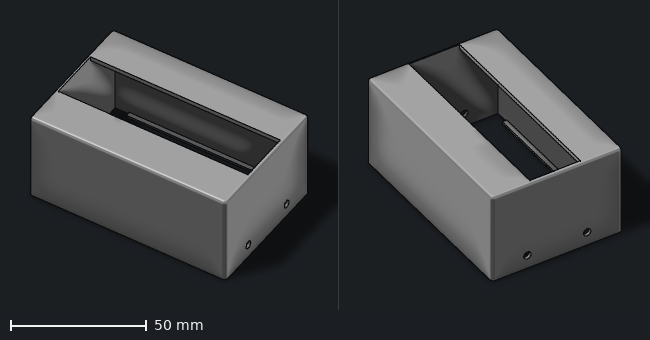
import cadquery as cq

length = 86.0
width = 57.0
height = 39.05

end_wall = 1.55
side_wall = 0.8
roof = 1.9
edge_radius = 1.55

slot_width = 22.0
slot_length = length - 2 * end_wall

hole_diameter = 3.1
hole_spacing = 26.1
hole_height = 5.9

lip_end_gap = 6.0
lip_length = slot_length - 2 * lip_end_gap
lip_depth = 2.0
lip_thickness = 1.0


def outer_body():
    """Block with rounded upright corners and rounded top edges."""
    block = cq.Workplane("XY").box(length, width, height, centered=(True, True, False))
    return block.edges("|Z or >Z").fillet(edge_radius)


def inner_cavity():
    """Sharp-cornered space that leaves the walls and roof, open below."""
    return cq.Workplane("XY").box(
        length - 2 * end_wall, width - 2 * side_wall, height - roof, centered=(True, True, False)
    )


def roof_slot():
    """Tall cutter for the central roof opening."""
    return cq.Workplane("XY").box(slot_length, slot_width, 2 * height)


def end_holes():
    """Pair of rods that pierce both end walls along X."""
    half_spacing = hole_spacing / 2
    return (
        cq.Workplane("YZ")
        .pushPoints([(-half_spacing, hole_height), (half_spacing, hole_height)])
        .circle(hole_diameter / 2)
        .extrude(length, both=True)
    )


def bottom_lip(side):
    """Inward lip rooted in one side wall: side is -1 for -Y or 1 for +Y."""
    root = side_wall / 2
    total_depth = root + lip_depth
    center_y = side * (width / 2 - root - total_depth / 2)
    return (
        cq.Workplane("XY")
        .box(lip_length, total_depth, lip_thickness, centered=(True, True, False))
        .translate((0, center_y, 0))
    )


shell = outer_body().cut(inner_cavity()).cut(roof_slot()).cut(end_holes())
result = shell.union(bottom_lip(-1)).union(bottom_lip(1))